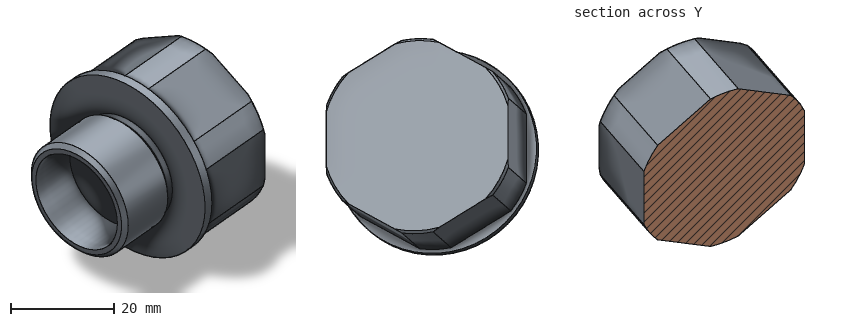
import cadquery as cq

spigot_diameter = 25.0
spigot_length = 15.0
thread_root_diameter = 23.16
thread_chamfer = (spigot_diameter - thread_root_diameter) / 2
relief_width = 1.5
bore_diameter = 21.0
bore_depth = 10.0

collar_diameter = 40.0
collar_thickness = 2.0

head_sides = 6
head_across_flats = 36.0
head_corner_diameter = 38.5
head_length = 18.0
head_chamfer = 0.5


def make_head():
    """Hexagon with two flats facing +X and -X, its corners turned round and chamfered at the end."""
    hexagon = (
        cq.Workplane("XZ", origin=(0, collar_thickness, 0))
        .polygon(head_sides, head_across_flats, circumscribed=True)
        .extrude(-head_length)
    )
    turned_envelope = (
        cq.Workplane("XZ", origin=(0, collar_thickness, 0))
        .circle(head_corner_diameter / 2)
        .extrude(-head_length)
        .faces(">Y")
        .chamfer(head_chamfer)
    )
    return hexagon.intersect(turned_envelope)


def make_collar():
    """Round sealing collar between the head and the spigot."""
    return cq.Workplane("XZ").circle(collar_diameter / 2).extrude(-collar_thickness)


def make_spigot():
    """Spigot turned about Y, with a relief groove at the collar and a chamfer at each thread end."""
    outer_radius = spigot_diameter / 2
    root_radius = thread_root_diameter / 2
    return (
        cq.Workplane("XY")
        .moveTo(0, 0)
        .lineTo(root_radius, 0)
        .lineTo(root_radius, -relief_width)
        .lineTo(outer_radius, -relief_width - thread_chamfer)
        .lineTo(outer_radius, -spigot_length + thread_chamfer)
        .lineTo(root_radius, -spigot_length)
        .lineTo(0, -spigot_length)
        .close()
        .revolve(axisStart=(0, 0, 0), axisEnd=(0, 1, 0))
    )


def make_bore():
    """Flat-bottomed bore entering from the free end of the spigot."""
    return (
        cq.Workplane("XZ", origin=(0, -spigot_length, 0))
        .circle(bore_diameter / 2)
        .extrude(-bore_depth)
    )


result = make_head().union(make_collar()).union(make_spigot()).cut(make_bore())